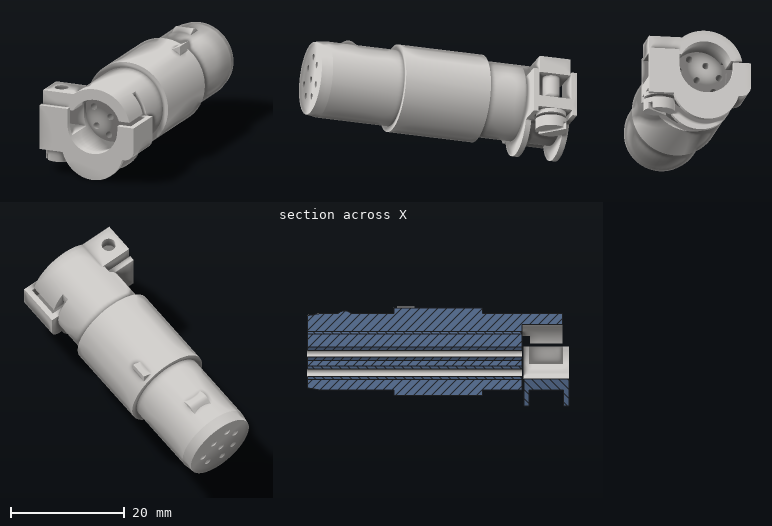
import cadquery as cq
import math


LENGTH = 45.9
BODY_R = 13.5 / 2
BODY_START = 8.2
TIP_R = 6.43
TIP_LENGTH = 1.97
BORE_R = 9.6 / 2

SLEEVE_R = 15.5 / 2
SLEEVE_START = 15.1
SLEEVE_END = 30.75

KEY_START = 27.05
KEY_END = 30.1
KEY_LOW_X = 3.05
KEY_HIGH_X = 4.7
KEY_TOP_Z = 7.9
KEY_EMBED = 0.45

CATCH_Y = 39.4
CATCH_WIDTH = 3.6
CATCH_BASE_HALF = 1.6
CATCH_CROWN_HALF = 0.85
CATCH_CROWN_Z = 6.98
CATCH_TOP_Z = 7.25

CONTACT_R = 2.3 / 2
CONTACT_HOLE_R = 1.2 / 2
CONTACT_CENTERS = [
    (-0.25, -0.35),
    (-1.6, 3.35),
    (1.35, 2.35),
    (3.7, 0.25),
    (2.7, -2.4),
    (-0.5, -3.65),
    (-2.9, -2.3),
    (-3.4, 1.15),
]

SADDLE_LEFT = -10.2
SADDLE_RIGHT = 7.95
SADDLE_DEPTH = 8.0
PLATE = 1.0
SADDLE_LEFT_TOP = 2.85
SADDLE_RIGHT_TOP = 0.85
SADDLE_BOTTOM = -5.2
SADDLE_CORNER_R = 1.85
PLATE_LOBE_R = 5.9
PLATE_LOBE_BOTTOM = -9.6
SHELL_R = BODY_R
POCKET_FLOOR = -2.15
RIGHT_WALL = 0.95

JAW_GAP = 0.15
JAW_START = PLATE + JAW_GAP
JAW_END = SADDLE_DEPTH - PLATE - JAW_GAP
JAW_RIGHT_END_Z = 1.4
LUG_LEFT = -10.05
LUG_BOTTOM = 2.3
LUG_TOP = 5.32
NECK_HALF = 4.6
NECK_BOTTOM = 2.7

SCREW_X = -7.7
SCREW_Y = SADDLE_DEPTH / 2
SHAFT_R = 3.0 / 2
SHAFT_START = -1.9
SCREW_NECK_R = 2.7 / 2
COLLAR_R = 5.3 / 2
COLLAR_TOP = -4.3
COLLAR_BOTTOM = -5.05
HEAD_R = 5.5 / 2
HEAD_TOP = -5.6
HEAD_BOTTOM = -7.57
SLOT_WIDTH = 0.85
SLOT_DEPTH = 1.1
SLOT_ANGLE = 45
THREAD_HOLE_R = 2.5 / 2
THREAD_HOLE_DEPTH = 2.3
RECESS_R = 6.3 / 2
RECESS_TOP = -4.2


def box(x0, x1, y0, y1, z0, z1):
    return cq.Workplane("XY").box(x1 - x0, y1 - y0, z1 - z0, centered=False).translate((x0, y0, z0))


def y_cylinder(radius, y0, y1, x=0.0, z=0.0):
    return cq.Workplane("XZ", origin=(x, y0, z)).circle(radius).extrude(y0 - y1)


def screw_cylinder(radius, z0, z1):
    return cq.Workplane("XY", origin=(SCREW_X, SCREW_Y, z0)).circle(radius).extrude(z1 - z0)


def make_round_body():
    """Round body with the sleeve and the tapered +Y tip."""
    profile = [
        (0, BODY_START),
        (BODY_R, BODY_START),
        (BODY_R, SLEEVE_START),
        (SLEEVE_R, SLEEVE_START),
        (SLEEVE_R, SLEEVE_END),
        (BODY_R, SLEEVE_END),
        (BODY_R, LENGTH - TIP_LENGTH),
        (TIP_R, LENGTH),
        (0, LENGTH),
    ]
    return cq.Workplane("XY").polyline(profile).close().revolve(360, (0, 0, 0), (0, 1, 0))


def make_key():
    """Wedge that rises from the sleeve surface to a vertical +X face."""
    low_z = math.sqrt(SLEEVE_R**2 - KEY_LOW_X**2)
    root_z = math.sqrt(SLEEVE_R**2 - KEY_HIGH_X**2) - KEY_EMBED
    outline = [(KEY_LOW_X, low_z), (KEY_HIGH_X, KEY_TOP_Z), (KEY_HIGH_X, root_z)]
    return cq.Workplane("XZ", origin=(0, KEY_START, 0)).polyline(outline).close().extrude(KEY_START - KEY_END)


def make_catch():
    """Bar across the top of the body with sloped sides and a rounded crown."""
    base_z = math.sqrt(BODY_R**2 - (CATCH_WIDTH / 2) ** 2)
    return (
        cq.Workplane("YZ", origin=(-CATCH_WIDTH / 2, CATCH_Y, 0))
        .moveTo(-CATCH_BASE_HALF, base_z)
        .lineTo(-CATCH_CROWN_HALF, CATCH_CROWN_Z)
        .threePointArc((0, CATCH_TOP_Z), (CATCH_CROWN_HALF, CATCH_CROWN_Z))
        .lineTo(CATCH_BASE_HALF, base_z)
        .close()
        .extrude(CATCH_WIDTH)
    )


def make_jaw():
    """Upper clamp jaw with its screw lug, joined to the round body by a narrower neck."""
    left = box(-BODY_R, 0, JAW_START, JAW_END, LUG_BOTTOM, BODY_R)
    right = box(0, BODY_R, JAW_START, JAW_END, JAW_RIGHT_END_Z, BODY_R)
    neck = box(-NECK_HALF, NECK_HALF, JAW_END, BODY_START, NECK_BOTTOM, BODY_R)
    arch = left.union(right).union(neck).intersect(y_cylinder(BODY_R, JAW_START, BODY_START))
    lug_right = -math.sqrt(BODY_R**2 - LUG_TOP**2)
    lug = box(LUG_LEFT, lug_right, JAW_START, JAW_END, LUG_BOTTOM, LUG_TOP)
    thread_hole = screw_cylinder(THREAD_HOLE_R, LUG_TOP - THREAD_HOLE_DEPTH, LUG_TOP)
    return arch.union(lug).cut(y_cylinder(BORE_R, JAW_START, BODY_START)).cut(thread_hole)


def make_screw():
    """Slotted screw that carries a collar and a neck below its shaft."""
    shaft = screw_cylinder(SHAFT_R, SHAFT_START, LUG_BOTTOM)
    neck = screw_cylinder(SCREW_NECK_R, HEAD_TOP, SHAFT_START)
    collar = screw_cylinder(COLLAR_R, COLLAR_BOTTOM, COLLAR_TOP)
    head = screw_cylinder(HEAD_R, HEAD_BOTTOM, HEAD_TOP)
    slot = (
        cq.Workplane("XY")
        .box(2 * HEAD_R, SLOT_WIDTH, SLOT_DEPTH, centered=(True, True, False))
        .rotate((0, 0, 0), (0, 0, 1), SLOT_ANGLE)
        .translate((SCREW_X, SCREW_Y, HEAD_BOTTOM))
    )
    return shaft.union(neck).union(collar).union(head.cut(slot))


def make_housing():
    """Housing with its jaw; the screw is one piece with the jaw, whose hole is narrower than the shaft."""
    housing = make_round_body().union(make_key()).union(make_catch())
    for x, z in CONTACT_CENTERS:
        housing = housing.cut(y_cylinder(CONTACT_R, BODY_START, LENGTH, x, z))
    return housing.union(make_jaw()).union(make_screw())


def make_contact(x, z):
    """Tube that runs the length of the round body."""
    tube = y_cylinder(CONTACT_R, BODY_START, LENGTH, x, z)
    return tube.cut(y_cylinder(CONTACT_HOLE_R, BODY_START, LENGTH, x, z))


def make_saddle():
    """Lower clamp half: two end plates joined by a shell, a screw bridge and a right wall."""
    left = box(SADDLE_LEFT, 0, 0, SADDLE_DEPTH, SADDLE_BOTTOM, SADDLE_LEFT_TOP)
    right = box(0, SADDLE_RIGHT, 0, SADDLE_DEPTH, SADDLE_BOTTOM, SADDLE_RIGHT_TOP)
    right = right.edges("|Y and >X and <Z").fillet(SADDLE_CORNER_R)
    below_floor = box(-SHELL_R, SHELL_R, PLATE, SADDLE_DEPTH - PLATE, -SHELL_R, POCKET_FLOOR)
    shell = y_cylinder(SHELL_R, PLATE, SADDLE_DEPTH - PLATE).intersect(below_floor)
    saddle = left.union(right).union(shell)

    lobe_z = PLATE_LOBE_BOTTOM + PLATE_LOBE_R
    for y in (0, SADDLE_DEPTH - PLATE):
        saddle = saddle.union(y_cylinder(PLATE_LOBE_R, y, y + PLATE, z=lobe_z))

    saddle = saddle.cut(y_cylinder(BORE_R, 0, SADDLE_DEPTH))
    saddle = saddle.cut(box(-BORE_R, BORE_R, 0, SADDLE_DEPTH, 0, SADDLE_LEFT_TOP))
    saddle = saddle.cut(
        box(SADDLE_LEFT, SADDLE_RIGHT - RIGHT_WALL, PLATE, SADDLE_DEPTH - PLATE, POCKET_FLOOR, SADDLE_LEFT_TOP)
    )

    saddle = saddle.cut(screw_cylinder(SCREW_NECK_R, SADDLE_BOTTOM, POCKET_FLOOR))
    saddle = saddle.cut(screw_cylinder(RECESS_R, SADDLE_BOTTOM, RECESS_TOP))
    return saddle.cut(
        box(SADDLE_LEFT, SCREW_X, SCREW_Y - RECESS_R, SCREW_Y + RECESS_R, SADDLE_BOTTOM, RECESS_TOP)
    )


housing = make_housing()
saddle = make_saddle()
contacts = [make_contact(x, z) for x, z in CONTACT_CENTERS]

result = cq.Compound.makeCompound([housing.val(), saddle.val(), *[contact.val() for contact in contacts]])